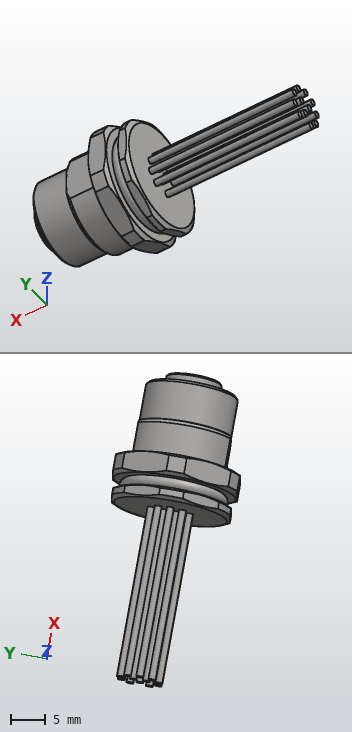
import cadquery as cq
import math

wire_length = 25.05
flange_end = 26.9
nut_start = 28.5
nut_end = 31.65
collar_end = 37.0
sleeve_end = 43.05
tip_end = 44.6

flange_flats = 17.13
flange_corner_diameter = 18.1
flange_face_diameter = 16.4
nut_flats = 18.0
nut_corner_diameter = 19.5
nut_face_diameter = 17.75
hex_chamfer_slope = 0.5

seal_diameter = 15.7
seal_bulge = 0.4

collar_diameter = 15.2
collar_chamfer = 0.65
sleeve_diameter = 13.4
sleeve_chamfer = 0.4
tip_diameter = 8.07
tip_chamfer = 0.25

wire_diameter = 1.03
outer_ring_radius = 2.9
outer_wire_count = 9
outer_wire_step = 37.7
inner_ring_radius = 1.1
inner_wire_count = 3
inner_wire_step = 120.0
wire_embedding = 0.45


def cylinder(start, end, diameter):
    """Cylinder on the X axis between two stations."""
    return cq.Workplane("YZ", origin=(start, 0, 0)).circle(diameter / 2).extrude(end - start)


def chamfered_hexagon(start, end, flats, corner_diameter, face_diameter):
    """Hexagonal disc, flats facing +Y and -Y, with turned corners and a cone on each face."""
    corner_circle = flats / math.cos(math.radians(30))
    hexagon = (
        cq.Workplane("YZ", origin=(start, 0, 0))
        .transformed(rotate=(0, 0, 30))
        .polygon(6, corner_circle)
        .extrude(end - start)
    )
    cone_height = (corner_diameter - face_diameter) / 2
    cone_length = cone_height * hex_chamfer_slope
    turned = cylinder(start, end, corner_diameter)
    turned = turned.faces("<X or >X").chamfer(cone_length, cone_height)
    return hexagon.intersect(turned)


def flatted_collar():
    """Chamfered collar with two flats level with the sleeve."""
    collar = cylinder(nut_end, collar_end, collar_diameter).faces(">X").chamfer(collar_chamfer)
    flats_box = cq.Workplane("XY").box(2 * tip_end, sleeve_diameter, 2 * collar_diameter)
    return collar.intersect(flats_box)


def bulged_seal():
    """Solid disc of revolution whose rim bulges outward as an arc."""
    rim_radius = seal_diameter / 2
    edge_radius = rim_radius - seal_bulge
    profile = (
        cq.Workplane("XZ")
        .moveTo(flange_end, 0)
        .lineTo(flange_end, edge_radius)
        .threePointArc(((flange_end + nut_start) / 2, rim_radius), (nut_start, edge_radius))
        .lineTo(nut_start, 0)
        .close()
    )
    return profile.revolve(360, (0, 0, 0), (1, 0, 0))


def wire(ring_radius, angle):
    """Straight wire at an angle measured about X from +Z."""
    y = ring_radius * math.sin(math.radians(angle))
    z = ring_radius * math.cos(math.radians(angle))
    return cylinder(0, wire_length + wire_embedding, wire_diameter).translate((0, y, z))


flange = chamfered_hexagon(
    wire_length, flange_end, flange_flats, flange_corner_diameter, flange_face_diameter
)
nut = chamfered_hexagon(nut_start, nut_end, nut_flats, nut_corner_diameter, nut_face_diameter)
sleeve = cylinder(collar_end, sleeve_end, sleeve_diameter).faces(">X").chamfer(sleeve_chamfer)
tip = cylinder(sleeve_end, tip_end, tip_diameter).faces(">X").chamfer(tip_chamfer)

result = flange.union(bulged_seal()).union(nut).union(flatted_collar()).union(sleeve).union(tip)

for index in range(outer_wire_count):
    offset = index - (outer_wire_count - 1) / 2
    result = result.union(wire(outer_ring_radius, offset * outer_wire_step))

for index in range(inner_wire_count):
    result = result.union(wire(inner_ring_radius, 180 + index * inner_wire_step))